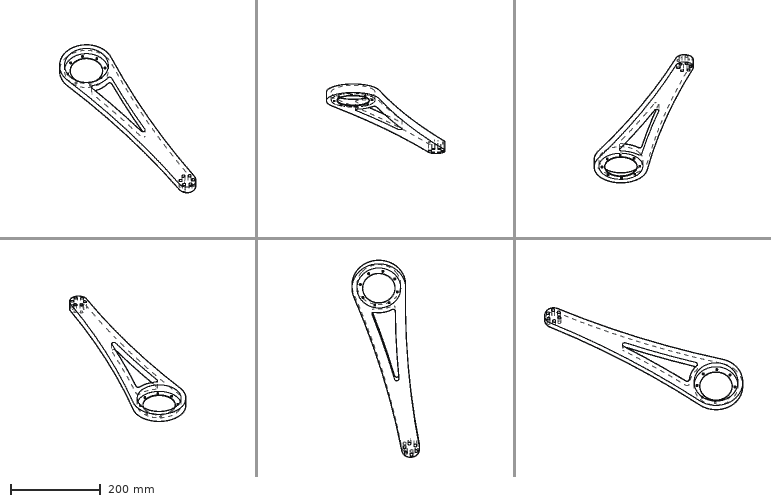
import cadquery as cq
import math

length = 480.0
thickness = 20.0
ring_radius = 60.0
tip_radius = 20.0
tip_x = length - ring_radius - tip_radius

seat_radius = 49.0
bore_radius = 36.0
floor_thickness = 2.0
screw_count = 8
screw_circle_radius = 42.0
screw_diameter = 4.0

bolt_count = 6
bolt_circle_radius = 14.0
bolt_diameter = 6.5

rail_width = 23.0
window_fillet = 5.0

side_radius = (tip_x**2 + tip_radius**2 - ring_radius**2) / (2 * (ring_radius - tip_radius))
side_center_y = tip_radius + side_radius


def side_point(x, radius):
    """Point at x on an arc about the upper side's centre."""
    return (x, side_center_y - math.sqrt(radius**2 - (tip_x - x) ** 2))


def mirrored(point):
    return (point[0], -point[1])


def arm_body():
    tangent_x = ring_radius * tip_x / (ring_radius + side_radius)
    ring_end = side_point(tangent_x, side_radius)
    side_mid = side_point((tangent_x + tip_x) / 2, side_radius)
    tip_end = (tip_x, tip_radius)
    return (
        cq.Workplane("XY")
        .moveTo(*ring_end)
        .threePointArc(side_mid, tip_end)
        .threePointArc((tip_x + tip_radius, 0), mirrored(tip_end))
        .threePointArc(mirrored(side_mid), mirrored(ring_end))
        .threePointArc((-ring_radius, 0), ring_end)
        .close()
        .extrude(thickness)
    )


def window():
    """Cutter bounded by the ring's circle and arcs concentric with the sides."""
    inner_radius = side_radius + rail_width
    apex_x = tip_x - math.sqrt(inner_radius**2 - side_center_y**2)

    center_distance = math.hypot(tip_x, side_center_y)
    along = (ring_radius**2 - inner_radius**2 + center_distance**2) / (2 * center_distance)
    corner_angle = math.atan2(side_center_y, tip_x) - math.acos(along / ring_radius)
    corner = (ring_radius * math.cos(corner_angle), ring_radius * math.sin(corner_angle))

    rail_mid = side_point((corner[0] + apex_x) / 2, inner_radius)
    return (
        cq.Workplane("XY")
        .moveTo(*corner)
        .threePointArc(rail_mid, (apex_x, 0))
        .threePointArc(mirrored(rail_mid), mirrored(corner))
        .threePointArc((ring_radius, 0), corner)
        .close()
        .extrude(thickness)
        .edges("|Z")
        .fillet(window_fillet)
    )


def hole_circle(center_x, circle_radius, count, diameter, start_angle):
    """Cutter for a ring of through holes."""
    return (
        cq.Workplane("XY")
        .center(center_x, 0)
        .polarArray(circle_radius, start_angle, 360, count)
        .circle(diameter / 2)
        .extrude(thickness)
    )


seat = cq.Workplane("XY").workplane(offset=floor_thickness).circle(seat_radius).extrude(thickness)
bore = cq.Workplane("XY").circle(bore_radius).extrude(thickness)
screws = hole_circle(0, screw_circle_radius, screw_count, screw_diameter, 180 / screw_count)
bolts = hole_circle(tip_x, bolt_circle_radius, bolt_count, bolt_diameter, 0)

result = arm_body().cut(window()).cut(seat).cut(bore).cut(screws).cut(bolts)